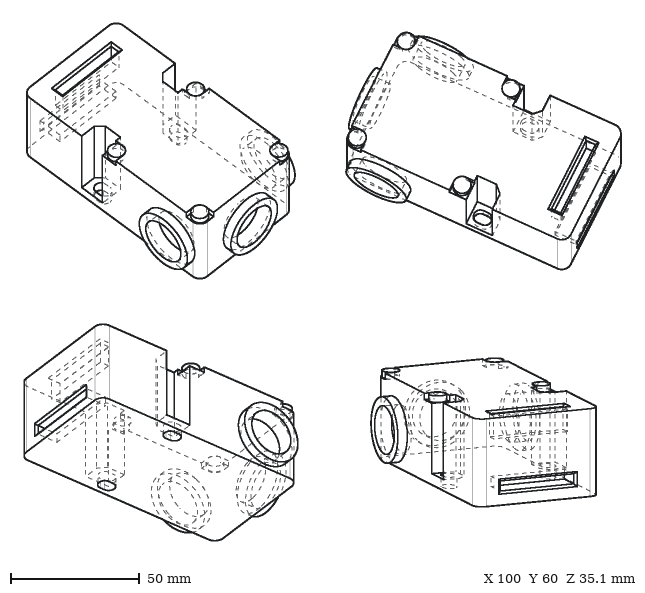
import cadquery as cq

LENGTH = 96.0
WIDTH = 52.0
HEIGHT = 35.0
CORNER_RADIUS = 4.0

ENTRY_DIAMETER = 26.0
ENTRY_BORE_DIAMETER = 19.0
ENTRY_PROJECTION = 4.0
ENTRY_BORE_DEPTH = 7.2
ENTRY_HEIGHT = 14.5
SIDE_ENTRY_X = 80.0

NOTCH_START = 32.0
NOTCH_END = 43.2
NOTCH_DEPTH = 10.0
NOTCH_CHAMFER = 3.0
NOTCH_FLOOR = 4.5
MOUNT_HOLE_X = 38.5
MOUNT_HOLE_INSET = 5.0
MOUNT_HOLE_LENGTH = 7.4
MOUNT_HOLE_WIDTH = 5.4

SCREW_RADIUS = 3.5
SCREW_INSET = 4.0
SCREW_PROUD = 0.1
POCKET_DEPTH = 2.5
INNER_SCREW_X = 46.9
OUTER_SCREW_X = LENGTH - SCREW_INSET

SLOT_LENGTH = 31.2
SLOT_WIDTH = 4.0
SLOT_DEPTH = 10.0
SLOT_BEVEL = 1.0
TOP_SLOT_X = 9.5
END_SLOT_Z = 7.5

SIDES = (-1, 1)


def make_housing():
    block = cq.Workplane("XY").box(LENGTH, WIDTH, HEIGHT, centered=(False, True, False))
    return block.edges("|Z").fillet(CORNER_RADIUS)


def cylinder_along(start, direction, diameter, length):
    return cq.Workplane(
        cq.Solid.makeCylinder(diameter / 2, length, cq.Vector(*start), cq.Vector(*direction))
    )


def add_entry(body, face_centre, outward):
    """Add a bored boss whose root reaches past the rounded corner of the housing."""
    face = cq.Vector(*face_centre)
    out = cq.Vector(*outward)
    root = face - out * CORNER_RADIUS
    mouth = face + out * ENTRY_PROJECTION
    boss = cylinder_along(root.toTuple(), outward, ENTRY_DIAMETER, CORNER_RADIUS + ENTRY_PROJECTION)
    bore = cylinder_along(mouth.toTuple(), (-out).toTuple(), ENTRY_BORE_DIAMETER, ENTRY_BORE_DEPTH)
    return body.union(boss).cut(bore)


def cut_mounting_notch(body, side):
    edge = side * WIDTH / 2
    wall = edge - side * NOTCH_DEPTH
    notch = (
        cq.Workplane("XY", origin=(0, 0, NOTCH_FLOOR))
        .moveTo(NOTCH_START, edge)
        .lineTo(NOTCH_START, wall + side * NOTCH_CHAMFER)
        .lineTo(NOTCH_START + NOTCH_CHAMFER, wall)
        .lineTo(NOTCH_END, wall)
        .lineTo(NOTCH_END, edge)
        .close()
        .extrude(HEIGHT - NOTCH_FLOOR)
    )
    hole = (
        cq.Workplane("XY")
        .center(MOUNT_HOLE_X, edge - side * MOUNT_HOLE_INSET)
        .slot2D(MOUNT_HOLE_LENGTH, MOUNT_HOLE_WIDTH)
        .extrude(HEIGHT)
    )
    return body.cut(notch).cut(hole)


def add_cover_screw(body, screw_x, side, toward):
    """Cut a pocket open to the side and to `toward` (-1 or +1 along X), then add the screw head."""
    edge = side * WIDTH / 2
    screw_y = edge - side * SCREW_INSET
    closed_x = screw_x - toward * SCREW_RADIUS
    open_x = NOTCH_END if toward < 0 else LENGTH
    floor = cq.Workplane("XY", origin=(0, 0, HEIGHT - POCKET_DEPTH))
    pocket = (
        floor.moveTo(closed_x, edge)
        .lineTo(closed_x, screw_y)
        .radiusArc((screw_x, screw_y - side * SCREW_RADIUS), -side * toward * SCREW_RADIUS)
        .lineTo(open_x, screw_y - side * SCREW_RADIUS)
        .lineTo(open_x, edge)
        .close()
        .extrude(POCKET_DEPTH)
    )
    head = floor.center(screw_x, screw_y).circle(SCREW_RADIUS).extrude(POCKET_DEPTH + SCREW_PROUD)
    return body.cut(pocket).union(head)


def cut_key_slot(body, mouth):
    """Cut a slot into the face carrying the workplane `mouth`, long side along Y."""
    slot = mouth.rect(SLOT_WIDTH, SLOT_LENGTH).extrude(-SLOT_DEPTH)
    bevel = (
        mouth.rect(SLOT_WIDTH + 2 * SLOT_BEVEL, SLOT_LENGTH + 2 * SLOT_BEVEL)
        .workplane(offset=-SLOT_BEVEL)
        .rect(SLOT_WIDTH, SLOT_LENGTH)
        .loft(ruled=True)
    )
    return body.cut(slot).cut(bevel)


result = make_housing()

result = add_entry(result, (LENGTH, 0, ENTRY_HEIGHT), (1, 0, 0))
for side in SIDES:
    result = add_entry(result, (SIDE_ENTRY_X, side * WIDTH / 2, ENTRY_HEIGHT), (0, side, 0))
    result = cut_mounting_notch(result, side)
    result = add_cover_screw(result, INNER_SCREW_X, side, -1)
    result = add_cover_screw(result, OUTER_SCREW_X, side, 1)

top_mouth = cq.Workplane("XY", origin=(TOP_SLOT_X, 0, HEIGHT))
end_mouth = cq.Workplane(cq.Plane(origin=(0, 0, END_SLOT_Z), xDir=(0, 0, 1), normal=(-1, 0, 0)))
for mouth in (top_mouth, end_mouth):
    result = cut_key_slot(result, mouth)